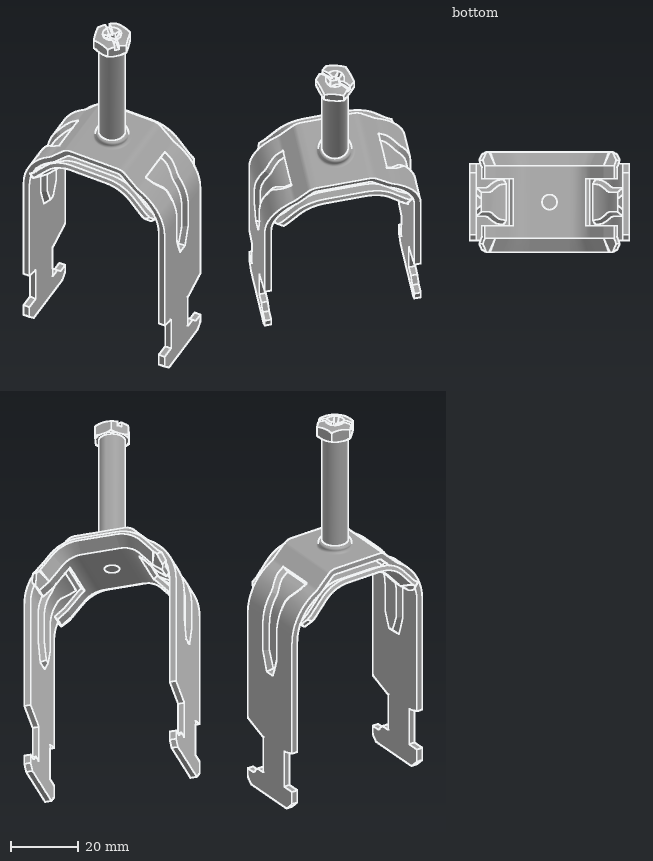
import cadquery as cq
import math

STRAP_WIDTH = 23.0
STRAP_THICKNESS = 2.0
STRAP_HALF_SPAN = 47.57 / 2
STRAP_TOP = 78.0
SPRING_Z = 57.6
CROWN_HALF_LENGTH = 7.8
CROWN_BEND_RADIUS = 3.8
SLOPE_ANGLE = 45.0
KINK_RADIUS = 4.5
SHOULDER_START_ANGLE = 30.0

SIN_SLOPE = math.sin(math.radians(SLOPE_ANGLE))
COS_SLOPE = math.cos(math.radians(SLOPE_ANGLE))
SIN_START = math.sin(math.radians(SHOULDER_START_ANGLE))
COS_START = math.cos(math.radians(SHOULDER_START_ANGLE))
BEND_RUN = CROWN_BEND_RADIUS * SIN_SLOPE + KINK_RADIUS * (SIN_SLOPE - SIN_START)
BEND_DROP = CROWN_BEND_RADIUS * (1 - COS_SLOPE) + KINK_RADIUS * (COS_START - COS_SLOPE)

RUN_LEFT = STRAP_HALF_SPAN - CROWN_HALF_LENGTH - BEND_RUN
DROP_LEFT = STRAP_TOP - SPRING_Z - BEND_DROP
SHOULDER_RADIUS = (DROP_LEFT - RUN_LEFT) / (COS_START + SIN_START - 1)
SHOULDER_CENTRE_X = STRAP_HALF_SPAN - SHOULDER_RADIUS

NECK_TOP = 18.85
NECK_REAR_Y = 3.45
NECK_FRONT_Y = -7.4
LEG_REAR_END = 21.9
LEG_FRONT_END = 19.9
HOOK_TOP = 6.9
HOOK_REAR_TOP = 4.7
HOOK_STEP_Y = 6.4
HOOK_STEP_RUN = 2.05
HOOK_REAR_CHAMFER = 1.8
HOOK_FRONT_CHAMFER = 2.8

RIB_DEPTH = 1.5
RIB_HALF_WIDTH = 3.6
RIB_WALL_RUN = 1.3
RIB_SKIN = 0.6
RIB_STRAIGHT_END = 48.5
RIB_TIP_Z = 43.2
RIB_TIP_WALL_RUN = 1.2
RIB_TIP_HALF_WIDTH = 1.6
RIB_FLARE = [
    (35.0, RIB_HALF_WIDTH),
    (40.0, 4.0),
    (53.0, 5.8),
    (63.0, 6.1),
]
RIB_FLARE_MARGIN = 0.6
RIB_OVERCUT = 0.5

COLLAR_RADIUS = 5.0
COLLAR_HEIGHT = 2.2
COLLAR_FOOT_FILLET = 1.1
COLLAR_LIP_RADIUS = 1.0

BOLT_TOP = 120.6
SHAFT_DIAMETER = 8.0
HEAD_FLATS = 10.0
HEAD_HEIGHT = 4.5
HEAD_TURN = 45.0
HEAD_DOME_START = 2.8
HEAD_DOME_DROP = 1.15
HEAD_BASE_RADIUS = 5.1
HEAD_BASE_BEVEL = 0.4
SLOT_WIDTH = 1.3
SLOT_DEPTH = 2.0
RECESS_DEPTH = 3.2
RECESS_CORE_SIDE = 2.7
RECESS_CONE_DEPTH = 1.0
NECK_DIAMETER = 4.5

PLATE_THICKNESS = 1.5
PLATE_WIDTH = 30.0
PLATE_BOTTOM = 71.6
PLATE_FLAT_HALF = 6.0
PLATE_BEND_RADIUS = 8.0
PLATE_ANGLE = 49.0
PLATE_WING_LENGTH = 6.3
PLATE_TIP_LENGTH = 4.0
PLATE_TIP_LIFT = 10.0
PLATE_RIM_ANGLE = 30.0
PLATE_RIM_START = 10.8
PLATE_CORNER_LENGTH = 2.6
PLATE_CORNER_WIDTH = 2.5
PLATE_NOTCH_LENGTH = 12.0
PLATE_NOTCH_WIDTH = 14.0


def band_points(depth):
    """Corner and arc-middle points of half the band, at a depth below its outer face."""
    crown_radius = CROWN_BEND_RADIUS - depth
    kink_radius = KINK_RADIUS + depth
    shoulder_radius = SHOULDER_RADIUS - depth
    crown_centre = (CROWN_HALF_LENGTH, STRAP_TOP - CROWN_BEND_RADIUS)
    kink_centre = (
        SHOULDER_CENTRE_X + (SHOULDER_RADIUS + KINK_RADIUS) * SIN_START,
        SPRING_Z + (SHOULDER_RADIUS + KINK_RADIUS) * COS_START,
    )

    def around(centre, radius, tilt):
        angle = math.radians(tilt)
        return (centre[0] + radius * math.sin(angle), centre[1] + radius * math.cos(angle))

    shoulder_centre = (SHOULDER_CENTRE_X, SPRING_Z)
    return {
        "crown_mid": around(crown_centre, crown_radius, SLOPE_ANGLE / 2),
        "slope_top": around(crown_centre, crown_radius, SLOPE_ANGLE),
        "slope_end": around(kink_centre, -kink_radius, SLOPE_ANGLE),
        "kink_mid": around(kink_centre, -kink_radius, (SLOPE_ANGLE + SHOULDER_START_ANGLE) / 2),
        "shoulder_top": around(shoulder_centre, shoulder_radius, SHOULDER_START_ANGLE),
        "shoulder_mid": around(shoulder_centre, shoulder_radius, (SHOULDER_START_ANGLE + 90) / 2),
        "spring": around(shoulder_centre, shoulder_radius, 90),
    }


def half_band():
    outer = band_points(0)
    inner = band_points(STRAP_THICKNESS)
    return (
        cq.Workplane("XZ", origin=(0, STRAP_WIDTH / 2, 0))
        .moveTo(0, STRAP_TOP)
        .lineTo(CROWN_HALF_LENGTH, STRAP_TOP)
        .threePointArc(outer["crown_mid"], outer["slope_top"])
        .lineTo(*outer["slope_end"])
        .threePointArc(outer["kink_mid"], outer["shoulder_top"])
        .threePointArc(outer["shoulder_mid"], outer["spring"])
        .lineTo(STRAP_HALF_SPAN, 0)
        .lineTo(STRAP_HALF_SPAN - STRAP_THICKNESS, 0)
        .lineTo(*inner["spring"])
        .threePointArc(inner["shoulder_mid"], inner["shoulder_top"])
        .threePointArc(inner["kink_mid"], inner["slope_end"])
        .lineTo(*inner["slope_top"])
        .threePointArc(inner["crown_mid"], (CROWN_HALF_LENGTH, STRAP_TOP - STRAP_THICKNESS))
        .lineTo(0, STRAP_TOP - STRAP_THICKNESS)
        .close()
        .extrude(STRAP_WIDTH)
    )


def leg_outline():
    """Outline of the band seen along X, with neck and hook, as a block through both legs."""
    edge = STRAP_WIDTH / 2
    points = [
        (edge, STRAP_TOP),
        (edge, LEG_REAR_END),
        (NECK_REAR_Y, NECK_TOP),
        (NECK_REAR_Y, HOOK_TOP),
        (HOOK_STEP_Y, HOOK_TOP),
        (HOOK_STEP_Y + HOOK_STEP_RUN, HOOK_REAR_TOP),
        (edge, HOOK_REAR_TOP),
        (edge, HOOK_REAR_CHAMFER),
        (edge - HOOK_REAR_CHAMFER, 0),
        (-edge + HOOK_FRONT_CHAMFER, 0),
        (-edge, HOOK_FRONT_CHAMFER),
        (-edge, HOOK_TOP),
        (NECK_FRONT_Y, HOOK_TOP),
        (NECK_FRONT_Y, NECK_TOP),
        (-edge, LEG_FRONT_END),
        (-edge, STRAP_TOP),
    ]
    return cq.Workplane("YZ").polyline(points).close().extrude(STRAP_HALF_SPAN, both=True)


def rib(half_width_change, mouth_depth, start_depth, end_depth):
    """Tapered bar along one leg and shoulder, from start_depth to end_depth below the outer face.

    Its half width is the rib half width plus half_width_change at mouth_depth.
    """
    wall_slope = RIB_WALL_RUN / RIB_DEPTH

    def section(half_width, elevation, z=SPRING_Z, lean=0, margin=0):
        angle = math.radians(elevation)
        top = start_depth - margin
        bottom = end_depth + margin
        corners = []
        for side, depth in ((1, top), (1, bottom), (-1, bottom), (-1, top)):
            reach = SHOULDER_RADIUS - depth
            width = half_width + half_width_change - wall_slope * (depth - mouth_depth)
            x = SHOULDER_CENTRE_X + reach * math.cos(angle)
            sink = lean * (mouth_depth + RIB_DEPTH - depth)
            corners.append(cq.Vector(x, side * width, z + reach * math.sin(angle) - sink))
        return cq.Wire.makePolygon(corners, close=True)

    def stretch(first, last):
        return cq.Workplane(cq.Solid.makeLoft([first, last], True))

    straight_start = section(RIB_HALF_WIDTH, 0)
    straight_end = section(RIB_HALF_WIDTH, 0, RIB_STRAIGHT_END)
    foot = section(RIB_TIP_HALF_WIDTH, 0, RIB_TIP_Z, RIB_TIP_WALL_RUN / RIB_DEPTH)
    bar = stretch(straight_start, straight_end).union(stretch(straight_end, foot))

    curved = cq.Solid.revolve(
        straight_start,
        [],
        RIB_FLARE[0][0],
        cq.Vector(SHOULDER_CENTRE_X, 0, SPRING_Z),
        cq.Vector(SHOULDER_CENTRE_X, -1, SPRING_Z),
    )
    bar = bar.union(cq.Workplane(curved))

    shell = (
        cq.Workplane("XZ", origin=(SHOULDER_CENTRE_X, 0, SPRING_Z))
        .circle(SHOULDER_RADIUS - start_depth)
        .circle(SHOULDER_RADIUS - end_depth)
        .extrude(STRAP_WIDTH / 2, both=True)
    )
    for (angle, width), (next_angle, next_width) in zip(RIB_FLARE, RIB_FLARE[1:]):
        lower = section(width, angle, margin=RIB_FLARE_MARGIN)
        upper = section(next_width, next_angle, margin=RIB_FLARE_MARGIN)
        bar = bar.union(stretch(lower, upper).intersect(shell))
    return bar


def collar():
    foot = STRAP_TOP + COLLAR_FOOT_FILLET
    top = STRAP_TOP + COLLAR_HEIGHT
    bulge = math.sqrt(0.5)
    fillet_mid = (
        COLLAR_RADIUS + COLLAR_FOOT_FILLET * (1 - bulge),
        STRAP_TOP + COLLAR_FOOT_FILLET * (1 - bulge),
    )
    lip_mid = (
        COLLAR_RADIUS - COLLAR_LIP_RADIUS * (1 - bulge),
        top - COLLAR_LIP_RADIUS * (1 - bulge),
    )
    return (
        cq.Workplane("XZ")
        .moveTo(0, STRAP_TOP - STRAP_THICKNESS)
        .lineTo(COLLAR_RADIUS + COLLAR_FOOT_FILLET, STRAP_TOP - STRAP_THICKNESS)
        .lineTo(COLLAR_RADIUS + COLLAR_FOOT_FILLET, STRAP_TOP)
        .threePointArc(fillet_mid, (COLLAR_RADIUS, foot))
        .lineTo(COLLAR_RADIUS, top - COLLAR_LIP_RADIUS)
        .threePointArc(lip_mid, (COLLAR_RADIUS - COLLAR_LIP_RADIUS, top))
        .lineTo(0, top)
        .close()
        .revolve(360, (0, 0, 0), (0, 1, 0))
    )


def make_strap():
    half = half_band().intersect(leg_outline())
    half = half.union(rib(RIB_SKIN, STRAP_THICKNESS, RIB_DEPTH / 2, STRAP_THICKNESS + RIB_DEPTH))
    half = half.cut(rib(0, 0, -RIB_OVERCUT, RIB_DEPTH))
    strap = half.union(half.mirror("YZ")).union(collar())
    bolt_hole = cq.Workplane("XY").circle(SHAFT_DIAMETER / 2).extrude(STRAP_TOP + COLLAR_HEIGHT)
    return strap.cut(bolt_hole)


def head_envelope():
    """Round body that bevels the base and domes the top of the hexagon."""
    base = BOLT_TOP - HEAD_HEIGHT
    corner_radius = HEAD_FLATS / math.sqrt(3)
    dome_run = corner_radius - HEAD_DOME_START
    dome_radius = (dome_run ** 2 + HEAD_DOME_DROP ** 2) / (2 * HEAD_DOME_DROP)
    half_turn = math.asin(dome_run / dome_radius) / 2
    dome_mid = (
        HEAD_DOME_START + dome_radius * math.sin(half_turn),
        BOLT_TOP - dome_radius * (1 - math.cos(half_turn)),
    )
    return (
        cq.Workplane("XZ")
        .moveTo(0, base)
        .lineTo(HEAD_BASE_RADIUS, base)
        .lineTo(corner_radius, base + HEAD_BASE_BEVEL)
        .lineTo(corner_radius, BOLT_TOP - HEAD_DOME_DROP)
        .threePointArc(dome_mid, (HEAD_DOME_START, BOLT_TOP))
        .lineTo(0, BOLT_TOP)
        .close()
        .revolve(360, (0, 0, 0), (0, 1, 0))
    )


def drive_recess():
    """Full slot, tapered cross arm and square centre with a conical mouth."""
    core_radius = RECESS_CORE_SIDE / 2
    floor = BOLT_TOP - RECESS_DEPTH
    slot = (
        cq.Workplane("XY", origin=(0, 0, BOLT_TOP - SLOT_DEPTH))
        .rect(SLOT_WIDTH, 2 * HEAD_FLATS)
        .extrude(SLOT_DEPTH)
    )
    arm = (
        cq.Workplane("XZ")
        .polyline([
            (-HEAD_DOME_START, BOLT_TOP),
            (HEAD_DOME_START, BOLT_TOP),
            (core_radius, floor),
            (-core_radius, floor),
        ])
        .close()
        .extrude(SLOT_WIDTH / 2, both=True)
    )
    cross = slot.union(arm).rotate((0, 0, 0), (0, 0, 1), HEAD_TURN)
    core = (
        cq.Workplane("XY", origin=(0, 0, floor))
        .rect(RECESS_CORE_SIDE, RECESS_CORE_SIDE)
        .extrude(RECESS_DEPTH)
    )
    mouth = cq.Solid.makeCone(
        core_radius, HEAD_DOME_START, RECESS_CONE_DEPTH, cq.Vector(0, 0, BOLT_TOP - RECESS_CONE_DEPTH)
    )
    return cross.union(core).union(cq.Workplane(mouth))


def make_bolt():
    base = BOLT_TOP - HEAD_HEIGHT
    shaft_end = STRAP_TOP - STRAP_THICKNESS
    head = (
        cq.Workplane("XY", origin=(0, 0, base))
        .polygon(6, HEAD_FLATS / math.cos(math.pi / 6))
        .extrude(HEAD_HEIGHT)
        .rotate((0, 0, 0), (0, 0, 1), HEAD_TURN)
        .intersect(head_envelope())
        .cut(drive_recess())
    )
    shaft = cq.Workplane("XY", origin=(0, 0, base)).circle(SHAFT_DIAMETER / 2).extrude(shaft_end - base)
    neck = (
        cq.Workplane("XY", origin=(0, 0, shaft_end))
        .circle(NECK_DIAMETER / 2)
        .extrude(PLATE_BOTTOM - shaft_end)
    )
    return head.union(shaft).union(neck)


def plate_section(x):
    """Cross-section of the tray on a plane of constant X."""
    rim_angle = math.radians(PLATE_RIM_ANGLE)
    edge = PLATE_WIDTH / 2
    rim_rise = (edge - PLATE_RIM_START) * math.tan(rim_angle)
    peak_y = edge - PLATE_THICKNESS * math.sin(rim_angle)
    peak_rise = rim_rise + PLATE_THICKNESS * math.cos(rim_angle)
    upper_start = PLATE_RIM_START - PLATE_THICKNESS * math.tan(rim_angle / 2)
    side = [
        (PLATE_RIM_START, 0),
        (edge, rim_rise),
        (peak_y, peak_rise),
        (upper_start, PLATE_THICKNESS),
    ]
    other_side = [(-y, rise) for y, rise in reversed(side)]
    return cq.Workplane("YZ", origin=(x, 0, PLATE_BOTTOM)).polyline(side + other_side).close()


def tilt_wing(body):
    """Turn a body laid out flat beyond the bend down to the slope of the wing."""
    centre_z = PLATE_BOTTOM - PLATE_BEND_RADIUS
    return body.rotate((PLATE_FLAT_HALF, 0, centre_z), (PLATE_FLAT_HALF, 1, centre_z), PLATE_ANGLE)


def plate_wing():
    """Sloping end of the tray, with a less steep tip that has cut corners."""
    crease = PLATE_FLAT_HALF + PLATE_WING_LENGTH
    end = crease + PLATE_TIP_LENGTH
    edge = PLATE_WIDTH / 2
    tip = plate_section(crease).extrude(PLATE_TIP_LENGTH)
    for side in (1, -1):
        corner = (
            cq.Workplane("XY", origin=(0, 0, PLATE_BOTTOM))
            .polyline([
                (end, side * edge),
                (end - PLATE_CORNER_LENGTH, side * edge),
                (end, side * (edge - PLATE_CORNER_WIDTH)),
            ])
            .close()
            .extrude(PLATE_WIDTH)
        )
        tip = tip.cut(corner)
    tip = tip.rotate((crease, 0, PLATE_BOTTOM), (crease, 1, PLATE_BOTTOM), -PLATE_TIP_LIFT)
    return tilt_wing(plate_section(PLATE_FLAT_HALF).extrude(PLATE_WING_LENGTH).union(tip))


def plate_notch():
    """Block that opens the end of the tray where the strap rib reaches into it."""
    end = PLATE_FLAT_HALF + PLATE_WING_LENGTH + PLATE_TIP_LENGTH
    block = (
        cq.Workplane("XY")
        .box(2 * PLATE_NOTCH_LENGTH, PLATE_NOTCH_WIDTH, 4 * PLATE_THICKNESS)
        .translate((end, 0, PLATE_BOTTOM))
    )
    return tilt_wing(block)


def make_plate():
    flat = plate_section(0).extrude(PLATE_FLAT_HALF)
    bend = plate_section(PLATE_FLAT_HALF).revolve(
        PLATE_ANGLE, (0, -PLATE_BEND_RADIUS, 0), (1, -PLATE_BEND_RADIUS, 0)
    )
    half = flat.union(bend).union(plate_wing()).cut(plate_notch())
    plate = half.union(half.mirror("YZ"))
    neck_hole = cq.Workplane("XY").circle(NECK_DIAMETER / 2).extrude(STRAP_TOP)
    return plate.cut(neck_hole)


strap = make_strap()
bolt = make_bolt()
plate = make_plate()

result = cq.Compound.makeCompound([strap.val(), bolt.val(), plate.val()])